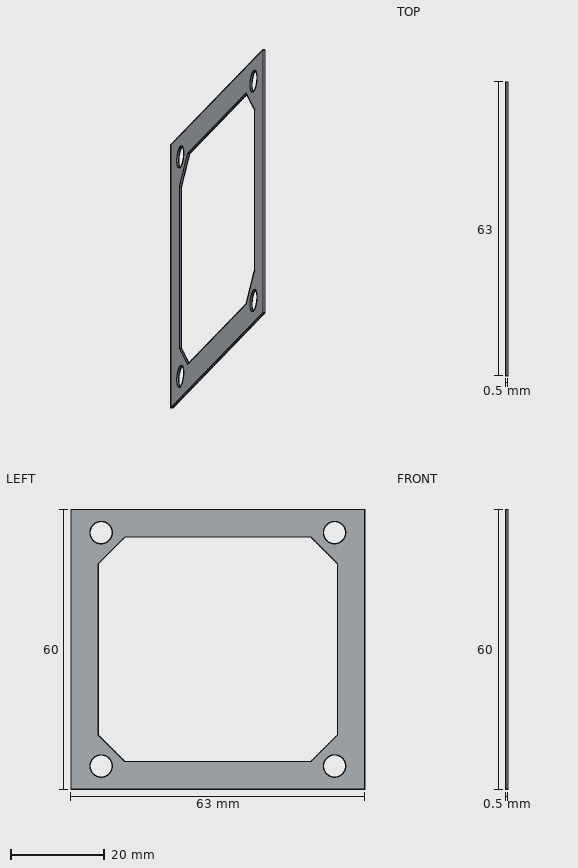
import cadquery as cq

thickness = 0.5
width = 63.0
height = 60.0

window_width = 51.2
window_height = 48.1
corner_bevel = 5.7

hole_diameter = 4.7
hole_spacing = 50.0

plate = cq.Workplane("XY").box(thickness, width, height)

window = (
    cq.Workplane("XY")
    .box(thickness, window_width, window_height)
    .edges("|X")
    .chamfer(corner_bevel)
)

bolt_holes = (
    cq.Workplane("YZ")
    .rect(hole_spacing, hole_spacing, forConstruction=True)
    .vertices()
    .circle(hole_diameter / 2)
    .extrude(thickness / 2, both=True)
)

result = plate.cut(window).cut(bolt_holes)